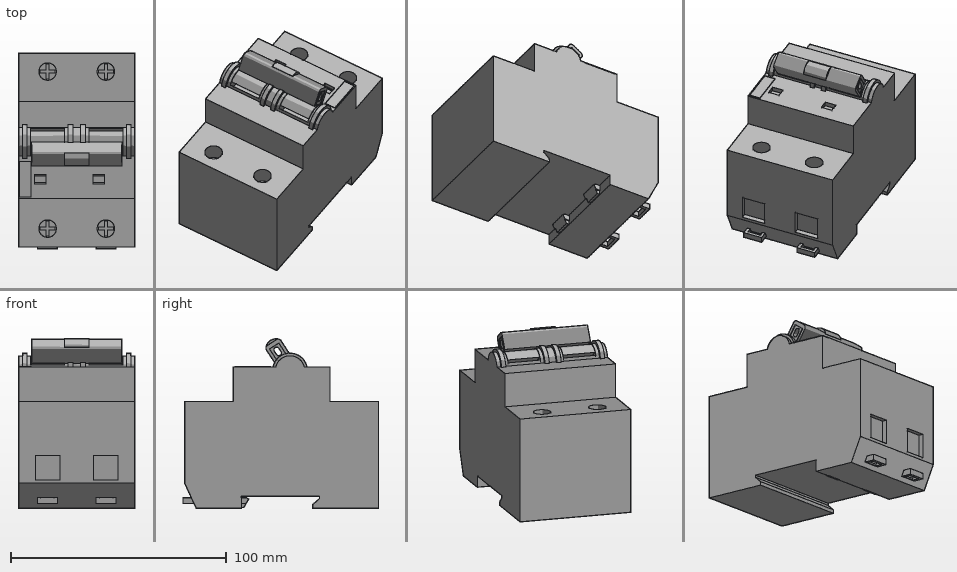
import cadquery as cq

poles = 2
pole_pitch = 27.0
body_width = poles * pole_pitch
body_depth = 90.0
pole_centres = [(i - (poles - 1) / 2) * pole_pitch for i in range(poles)]

shoulder_height = 49.5
top_height = 65.5
top_step_depth = 45.0
top_front = (body_depth - top_step_depth) / 2
top_back = top_front + top_step_depth
toe_setback = 5.4
toe_height = 11.6

rail_front = 26.3
rail_back = 62.5
rail_depth = 5.5
hook_reach = 3.1
hook_top = 4.5
hook_edge = 1.7

terminal_size = 11.4
terminal_bottom = 13.0
terminal_depth = 2.4
screw_diameter = 8.1
screw_inset = 8.6
screw_depth = 8.0
screw_slot_width = 1.5
screw_slot_length = 7.0
screw_slot_depth = 1.0

clip_offset = 13.6
clip_width = 9.2
clip_bottom = 2.2
clip_top = 4.95
clip_overhang = 0.8
clip_wall = 1.5
clip_window_back = 4.0
clip_nose_reach = 3.5
clip_nose_shoulder = 2.4
clip_nose_height = 4.3
clip_nose_bottom = 0.35
clip_nose_toe = 1.2
clip_nose_inset = 0.5

drum_y = 48.9
drum_z = 63.9
drum_radius = 6.8
ring_radius = 8.05
ring_width = 2.1
ring_offset = 10.6
hub_radius = 6.5
hub_flat = 0.7
opening_width = 15.8
opening_rim_half_depth = 6.0
opening_floor_half_depth = 4.6
opening_rim_z = 66.6
opening_floor_z = 63.0

handle_tilt = 33.0
handle_width = 41.9
handle_thickness = 8.1
handle_start = 6.6
handle_end = 15.4
handle_fillet = 1.5
neck_front = -3.9
grip_width = 11.4
grip_thickness = 7.0
grip_edge = 15.15
grip_crown = 16.63
eye_distance = 10.5
eye_width = 2.4
eye_length = 4.2
end_recess_width = 5.1
end_recess_top = 13.5
end_recess_depth = 0.3

window_offset = -3.35
window_width = 5.35
window_front = 29.2
window_back = 33.6
window_depth = 2.0
flag_front = 30.0
flag_back = 33.1
flag_step = 0.3
flag_crown = 0.12

label_left = -26.5
label_right = -21.2
label_front = 23.3
label_back = 39.8
label_thickness = 0.25


def box(x_range, y_range, z_range):
    """Box between pairs of X, Y and Z limits."""
    size = [r[1] - r[0] for r in (x_range, y_range, z_range)]
    corner = (x_range[0], y_range[0], z_range[0])
    return cq.Workplane("XY").box(*size, centered=False).translate(corner)


def span(centre, width):
    """Limits of a width placed about a centre."""
    return (centre - width / 2, centre + width / 2)


def bar(x_range, profile):
    """Extrude a closed YZ profile of straight sides between two X limits."""
    sketch = cq.Workplane("YZ", origin=(x_range[0], 0, 0)).polyline(profile).close()
    return sketch.extrude(x_range[1] - x_range[0])


def drum_cylinder(x_range, radius):
    """Cylinder about the drum axis between two X limits."""
    plane = cq.Workplane("YZ", origin=(x_range[0], drum_y, drum_z))
    return plane.circle(radius).extrude(x_range[1] - x_range[0])


def make_body():
    profile = [
        (toe_setback, 0),
        (rail_front, 0),
        (rail_front, rail_depth),
        (rail_back, rail_depth),
        (rail_back, hook_top),
        (rail_back - hook_reach, hook_edge),
        (rail_back - hook_reach, 0),
        (body_depth, 0),
        (body_depth, shoulder_height),
        (top_back, shoulder_height),
        (top_back, top_height),
        (top_front, top_height),
        (top_front, shoulder_height),
        (0, shoulder_height),
        (0, toe_height),
    ]
    return bar(span(0, body_width), profile)


def terminal_opening(x):
    z_range = (terminal_bottom, terminal_bottom + terminal_size)
    return box(span(x, terminal_size), (0, terminal_depth), z_range)


def screw_hole(x, y):
    """Screw well with a cross slot in the screw head at its floor."""
    floor = shoulder_height - screw_depth
    well = cq.Workplane("XY", origin=(x, y, floor)).circle(screw_diameter / 2).extrude(screw_depth)
    slot_z = (floor - screw_slot_depth, floor)
    along_x = box(span(x, screw_slot_length), span(y, screw_slot_width), slot_z)
    along_y = box(span(x, screw_slot_width), span(y, screw_slot_length), slot_z)
    return well.union(along_x).union(along_y)


def make_clip(x):
    """Sliding clip: a pull tab with a window at the front and a nose in the rail slot."""
    z_range = (clip_bottom, clip_top)
    nose_tip = rail_front + clip_nose_reach
    nose_toe = rail_front + clip_nose_toe
    slope = (nose_tip - nose_toe) / (clip_nose_height - clip_nose_bottom)
    nose_at_bar = nose_toe + slope * (clip_bottom - clip_nose_bottom)
    bar_profile = [
        (-clip_overhang, clip_bottom),
        (nose_at_bar, clip_bottom),
        (nose_tip, clip_nose_height),
        (rail_front + clip_nose_shoulder, clip_top),
        (-clip_overhang, clip_top),
    ]
    nose_profile = [
        (rail_front, clip_nose_bottom),
        (nose_toe, clip_nose_bottom),
        (nose_at_bar, clip_bottom),
        (rail_front, clip_bottom),
    ]
    window_y = (clip_wall - clip_overhang, clip_window_back)
    window = box(span(x, clip_width - 2 * clip_wall), window_y, z_range)
    tab = bar(span(x, clip_width), bar_profile).cut(window)
    return tab.union(bar(span(x, clip_width - 2 * clip_nose_inset), nose_profile))


def make_drum():
    """Full-width drum with two rings at each pole."""
    drum = drum_cylinder(span(0, body_width), drum_radius)
    for x in pole_centres:
        for side in (-1, 1):
            drum = drum.union(drum_cylinder(span(x + side * ring_offset, ring_width), ring_radius))
    return drum


def hub_opening(x):
    """Space around the hub, with steep front and back walls."""
    flare = (opening_rim_half_depth - opening_floor_half_depth) / (opening_rim_z - opening_floor_z)
    cut_top = drum_z + ring_radius
    cut_half_depth = opening_rim_half_depth + flare * (cut_top - opening_rim_z)
    profile = [
        (drum_y - opening_floor_half_depth, opening_floor_z),
        (drum_y + opening_floor_half_depth, opening_floor_z),
        (drum_y + cut_half_depth, cut_top),
        (drum_y - cut_half_depth, cut_top),
    ]
    return bar(span(x, opening_width), profile)


def tilt_onto_drum(shape):
    """Move a shape laid out upright about the X axis to its tilted place on the drum."""
    return shape.rotate((0, 0, 0), (1, 0, 0), handle_tilt).translate((0, drum_y, drum_z))


def make_hub(x):
    """Part-round hub in a drum opening, with the neck that carries the handle."""
    x_range = span(x, opening_width)
    hub = cq.Workplane("YZ", origin=(x_range[0], 0, 0)).circle(hub_radius).extrude(opening_width)
    hub = hub.intersect(box(x_range, span(0, 2 * hub_radius), (hub_flat, hub_radius)))
    neck_x = (max(x_range[0], -handle_width / 2), min(x_range[1], handle_width / 2))
    neck = box(neck_x, (neck_front, 0), (hub_flat, handle_start))
    return tilt_onto_drum(hub.union(neck))


def make_handle():
    """Toggle handle with a crowned grip, a cross hole and recessed ends."""
    lever = box(span(0, handle_width), span(0, handle_thickness), (handle_start, handle_end))
    lever = lever.edges("|X and >Z").fillet(handle_fillet)
    grip_half = grip_thickness / 2
    grip = (
        cq.Workplane("YZ", origin=(-grip_width / 2, 0, 0))
        .moveTo(-grip_half, handle_start)
        .lineTo(grip_half, handle_start)
        .lineTo(grip_half, grip_edge)
        .threePointArc((0, grip_crown), (-grip_half, grip_edge))
        .close()
        .extrude(grip_width)
    )
    lever = lever.union(grip)
    for side in (-1, 1):
        recess_x = span(side * (handle_width - end_recess_depth) / 2, end_recess_depth)
        lever = lever.cut(box(recess_x, span(0, end_recess_width), (handle_start, end_recess_top)))
    eye = (
        cq.Workplane("YZ", origin=(-handle_width / 2, 0, eye_distance))
        .slot2D(eye_length, eye_width, 90)
        .extrude(handle_width)
    )
    return tilt_onto_drum(lever.cut(eye))


def status_window(x):
    """Pocket with a sloped back wall and a slightly crowned flag on its floor."""
    x_range = span(x + window_offset, window_width)
    floor = top_height - window_depth
    flag_edge = floor + flag_step
    flag_middle = ((flag_front + flag_back) / 2, flag_edge + flag_crown)
    return (
        cq.Workplane("YZ", origin=(x_range[0], 0, 0))
        .moveTo(window_front, top_height)
        .lineTo(window_front, floor)
        .lineTo(flag_front, floor)
        .lineTo(flag_front, flag_edge)
        .threePointArc(flag_middle, (flag_back, flag_edge))
        .lineTo(window_back, top_height)
        .close()
        .extrude(window_width)
    )


def make_label():
    z_range = (top_height, top_height + label_thickness)
    return box((label_left, label_right), (label_front, label_back), z_range)


result = make_body().union(make_drum())
for pole_x in pole_centres:
    result = result.cut(hub_opening(pole_x)).union(make_hub(pole_x))
    result = result.cut(terminal_opening(pole_x))
    result = result.cut(status_window(pole_x))
    for screw_y in (screw_inset, body_depth - screw_inset):
        result = result.cut(screw_hole(pole_x, screw_y))
for clip_x in (-clip_offset, clip_offset):
    result = result.union(make_clip(clip_x))
result = result.union(make_handle()).union(make_label())